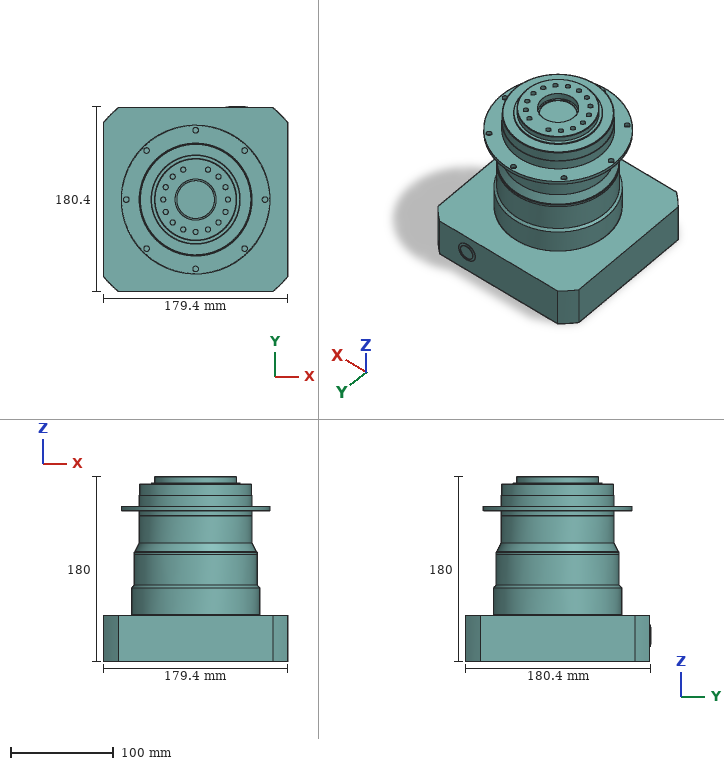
import cadquery as cq
import math

base_width = 179.4
base_height = 45.0
base_corner_radius = 117.0

plug_radius = 10.5
plug_rim_height = 0.5
plug_height = 1.0
plug_top_radius = 7.9
plug_x = 40.2
plug_z = 25.0

lower_housing_radius = 62.5
middle_radius = 60.0
lower_shoulder_z = 74.3
lower_housing_top = 104.0
edge_chamfer = 0.7

collar_top = 106.9
neck_radius = 55.0
cone_top = 115.5
groove_z = 141.5
groove_width = 0.8
groove_depth = 0.2
flange_bottom = 146.5
flange_top = 151.0
flange_radius = 72.5
flange_hole_circle_radius = 67.5
flange_hole_diameter = 5.5
flange_hole_count = 8
nose_bottom = 161.5
nose_radius = 54.5
nose_top = 173.0

lip_bottom_radius = 43.4
lip_top_radius = 43.0
lip_top = 174.0

output_radius = 40.0
output_top = 180.0
output_bottom = 160.0
output_chamfer = 0.5
output_hole_circle_radius = 31.5
output_hole_diameter = 5.0
output_hole_depth = 12.0
output_hole_positions = 16
bore_radius = 20.0

cover_top = 173.0
cover_recess_radius = 18.4
cover_recess_depth = 1.2
cover_bottom = 168.5



def revolved(profile):
    """Solid of revolution about Z from (radius, z) points."""
    return cq.Workplane("XZ").polyline(profile).close().revolve(360, (0, 0), (0, 1))


def hole_circle(radius, angles, diameter, top, depth):
    """Drills for holes that go down from the height `top`."""
    points = [(radius * math.cos(math.radians(a)), radius * math.sin(math.radians(a))) for a in angles]
    return cq.Workplane("XY", origin=(0, 0, top)).pushPoints(points).circle(diameter / 2).extrude(-depth)


def make_base():
    """Square block whose corners are turned to a large radius."""
    block = cq.Workplane("XY").rect(base_width, base_width).extrude(base_height)
    turned = cq.Workplane("XY").circle(base_corner_radius).extrude(base_height)
    return block.intersect(turned)


def make_plug():
    """Low round cap with a raised centre, on the +Y face of the base."""
    cap = cq.Workplane("XY").circle(plug_radius).extrude(plug_rim_height)
    cap = cap.union(cq.Workplane("XY").circle(plug_top_radius).extrude(plug_height))
    return cap.rotate((0, 0, 0), (1, 0, 0), -90).translate((plug_x, base_width / 2, plug_z))


def make_lower_housing():
    """Stepped drum with a sloping shoulder at 45 degrees."""
    shoulder = lower_housing_radius - middle_radius
    return revolved([
        (0, base_height),
        (lower_housing_radius - edge_chamfer, base_height),
        (lower_housing_radius, base_height + edge_chamfer),
        (lower_housing_radius, lower_shoulder_z - shoulder),
        (middle_radius, lower_shoulder_z),
        (middle_radius, lower_housing_top),
        (0, lower_housing_top),
    ])


def make_upper_housing():
    """Cone, neck, mounting flange and nose, with a round pocket for the output flange."""
    body = revolved([
        (0, lower_housing_top),
        (middle_radius, lower_housing_top),
        (middle_radius, collar_top - edge_chamfer),
        (middle_radius - edge_chamfer, collar_top),
        (neck_radius, cone_top),
        (neck_radius, groove_z),
        (neck_radius - groove_depth, groove_z),
        (neck_radius - groove_depth, groove_z + groove_width),
        (neck_radius, groove_z + groove_width),
        (neck_radius, flange_bottom),
        (flange_radius - edge_chamfer, flange_bottom),
        (flange_radius, flange_bottom + edge_chamfer),
        (flange_radius, flange_top),
        (neck_radius, flange_top),
        (neck_radius, nose_bottom),
        (nose_radius, nose_bottom),
        (nose_radius, nose_top - edge_chamfer),
        (nose_radius - edge_chamfer, nose_top),
        (lip_bottom_radius, nose_top),
        (lip_top_radius, lip_top),
        (output_radius, lip_top),
        (output_radius, output_bottom),
        (0, output_bottom),
    ])
    angles = [i * 360 / flange_hole_count for i in range(flange_hole_count)]
    return body.cut(hole_circle(
        flange_hole_circle_radius, angles, flange_hole_diameter, flange_top, flange_top - flange_bottom))


def make_output_flange():
    """Disc with a blind central bore and a hole circle that leaves out the position on +Y."""
    body = revolved([
        (0, output_bottom),
        (output_radius, output_bottom),
        (output_radius, output_top - output_chamfer),
        (output_radius - output_chamfer, output_top),
        (bore_radius, output_top),
        (bore_radius, cover_bottom),
        (0, cover_bottom),
    ])
    angles = [90 + i * 360 / output_hole_positions for i in range(1, output_hole_positions)]
    return body.cut(hole_circle(
        output_hole_circle_radius, angles, output_hole_diameter, output_top, output_hole_depth))


def make_bore_cover():
    """Shallow dish that closes the bore of the output flange."""
    recess_floor = cover_top - cover_recess_depth
    return revolved([
        (0, cover_bottom),
        (bore_radius, cover_bottom),
        (bore_radius, cover_top),
        (cover_recess_radius, cover_top),
        (cover_recess_radius, recess_floor),
        (0, recess_floor),
    ])


base = make_base()
plug = make_plug()
lower_housing = make_lower_housing()
upper_housing = make_upper_housing()
output_flange = make_output_flange()
bore_cover = make_bore_cover()

result = cq.Compound.makeCompound([
    base.val(),
    plug.val(),
    lower_housing.val(),
    upper_housing.val(),
    output_flange.val(),
    bore_cover.val(),
])